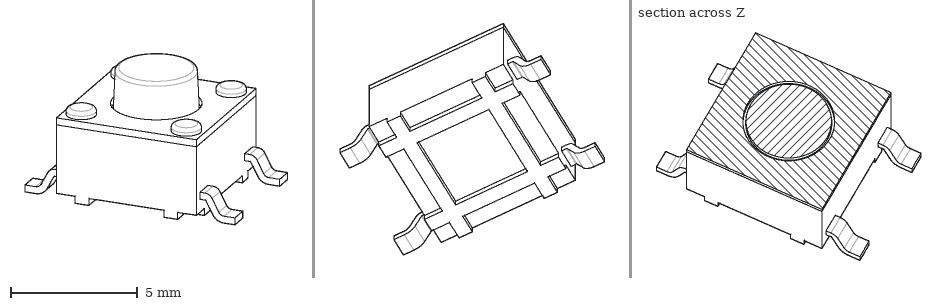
import cadquery as cq
import math

overall_length = 9.0
case_side = 6.0
overall_height = 5.0

rib_height = 0.3
rib_width = 0.59
rib_inset = 0.8
housing_top = 3.2
rib_offset = case_side / 2 - rib_inset - rib_width / 2

sheet_thickness = 0.3
lead_width = 0.8
corner_offset = 2.25
lead_top = 1.15
foot_length = 0.47
bend_angle = math.radians(62)
lower_inner_radius = 0.25
upper_inner_radius = 0.045

cover_thickness = 0.3
cover_top = housing_top + cover_thickness
button_hole_diameter = 3.6
post_diameter = 1.2
post_height = 0.3
edge_round = 0.15

button_base_diameter = 3.4
button_draft = 2.5
button_height = overall_height - housing_top


def make_lead(y_center):
    """Gull-wing lead on the +X side, from the foot tip up to the case wall."""
    lower_outer_radius = lower_inner_radius + sheet_thickness
    upper_outer_radius = upper_inner_radius + sheet_thickness
    tip_x = overall_length / 2
    wall_x = case_side / 2

    lower_center = (tip_x - foot_length, sheet_thickness + lower_inner_radius)

    upper_center_z = lead_top - upper_outer_radius
    radius_sum = lower_inner_radius + upper_outer_radius
    center_rise = upper_center_z - lower_center[1]
    slope_length = (center_rise + radius_sum * math.cos(bend_angle)) / math.sin(bend_angle)
    center_run = radius_sum * math.sin(bend_angle) + slope_length * math.cos(bend_angle)
    upper_center = (lower_center[0] - center_run, upper_center_z)

    def lower_point(radius, angle):
        """Point on the lower bend; the angle runs from the foot (0) to the slope (bend_angle)."""
        return (lower_center[0] - radius * math.sin(angle), lower_center[1] - radius * math.cos(angle))

    def upper_point(radius, angle):
        """Point on the upper bend; the angle runs from the shoulder (0) to the slope (bend_angle)."""
        return (upper_center[0] + radius * math.sin(angle), upper_center[1] + radius * math.cos(angle))

    middle = bend_angle / 2
    profile = (
        cq.Workplane("XZ")
        .moveTo(tip_x, 0)
        .lineTo(tip_x, sheet_thickness)
        .lineTo(*lower_point(lower_inner_radius, 0))
        .threePointArc(lower_point(lower_inner_radius, middle), lower_point(lower_inner_radius, bend_angle))
        .lineTo(*upper_point(upper_outer_radius, bend_angle))
        .threePointArc(upper_point(upper_outer_radius, middle), upper_point(upper_outer_radius, 0))
        .lineTo(wall_x, lead_top)
        .lineTo(wall_x, lead_top - sheet_thickness)
        .lineTo(*upper_point(upper_inner_radius, 0))
        .threePointArc(upper_point(upper_inner_radius, middle), upper_point(upper_inner_radius, bend_angle))
        .lineTo(*lower_point(lower_outer_radius, bend_angle))
        .threePointArc(lower_point(lower_outer_radius, middle), lower_point(lower_outer_radius, 0))
        .close()
    )
    return profile.extrude(lead_width / 2, both=True).translate((0, y_center, 0))


def make_housing():
    """Square case on crossing ribs, with two leads on each X side."""
    housing = (
        cq.Workplane("XY")
        .workplane(offset=rib_height)
        .rect(case_side, case_side)
        .extrude(housing_top - rib_height)
    )
    for offset in (-rib_offset, rib_offset):
        rib_along_x = cq.Workplane("XY").center(0, offset).rect(case_side, rib_width).extrude(rib_height)
        rib_along_y = cq.Workplane("XY").center(offset, 0).rect(rib_width, case_side).extrude(rib_height)
        housing = housing.union(rib_along_x).union(rib_along_y)
    for y_center in (-corner_offset, corner_offset):
        lead = make_lead(y_center)
        housing = housing.union(lead).union(lead.mirror("YZ"))
    return housing


def make_cover():
    """Square plate with a button hole and a round-rimmed post near each corner."""
    cover = (
        cq.Workplane("XY")
        .workplane(offset=housing_top)
        .rect(case_side, case_side)
        .circle(button_hole_diameter / 2)
        .extrude(cover_thickness)
    )
    posts = (
        cq.Workplane("XY")
        .workplane(offset=cover_top)
        .rect(2 * corner_offset, 2 * corner_offset, forConstruction=True)
        .vertices()
        .circle(post_diameter / 2)
        .extrude(post_height)
        .faces(">Z")
        .edges()
        .fillet(edge_round)
    )
    return cover.union(posts)


def make_button():
    """Tapered round button standing on the housing inside the cover hole."""
    return (
        cq.Workplane("XY")
        .workplane(offset=housing_top)
        .circle(button_base_diameter / 2)
        .extrude(button_height, taper=button_draft)
        .faces(">Z")
        .edges()
        .fillet(edge_round)
    )


housing = make_housing()
cover = make_cover()
button = make_button()

result = cq.Compound.makeCompound([housing.val(), cover.val(), button.val()])